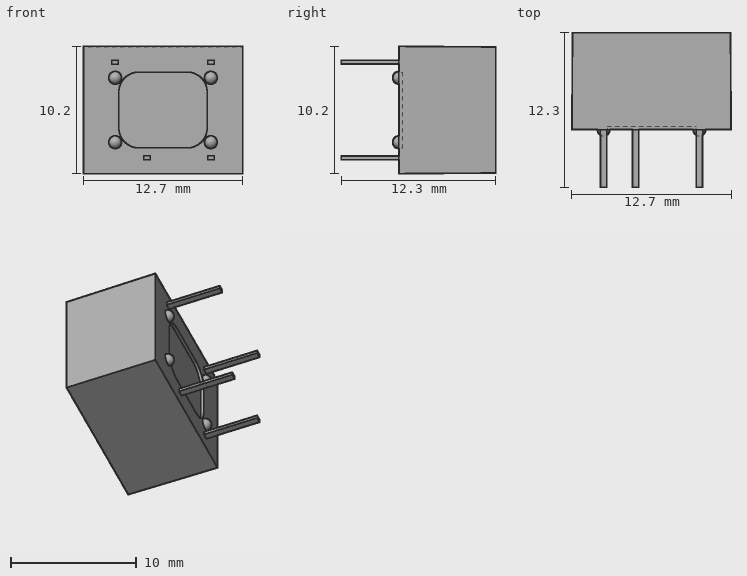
import cadquery as cq

body_width = 12.7
body_height = 10.16
body_depth = 7.71
back_inset = 0.05

pocket_width = 7.04
pocket_height = 6.05
pocket_corner_radius = 1.6
pocket_depth = 0.25

grid_pitch = 2.54
column_x = 1.5 * grid_pitch
pin_row_z = 1.5 * grid_pitch
pin_width = 0.51
pin_thickness = 0.3
pin_length = 4.6
pin_positions = [
    (-column_x, pin_row_z),
    (column_x, pin_row_z),
    (column_x - 2 * grid_pitch, -pin_row_z),
    (column_x, -pin_row_z),
]
standoff_radius = 0.51
standoff_row_z = 2.57


def make_body():
    """Block whose four sides lean slightly inward towards the back."""
    return (
        cq.Workplane("XZ")
        .rect(body_width, body_height)
        .workplane(offset=-body_depth)
        .rect(body_width - 2 * back_inset, body_height - 2 * back_inset)
        .loft(ruled=True)
    )


def make_pocket():
    """Rounded rectangular recess, open at the front face."""
    return (
        cq.Workplane("XZ")
        .rect(pocket_width, pocket_height)
        .extrude(-pocket_depth)
        .edges("|Y")
        .fillet(pocket_corner_radius)
    )


def make_pins():
    """Flat pins standing on the front face."""
    return (
        cq.Workplane("XZ")
        .pushPoints(pin_positions)
        .rect(pin_width, pin_thickness)
        .extrude(pin_length)
    )


def make_standoffs():
    """Balls half sunk in the front face, one at each corner of a rectangle."""
    return (
        cq.Workplane("XZ")
        .rect(2 * column_x, 2 * standoff_row_z, forConstruction=True)
        .vertices()
        .sphere(standoff_radius)
    )


result = make_body().cut(make_pocket()).union(make_pins()).union(make_standoffs())